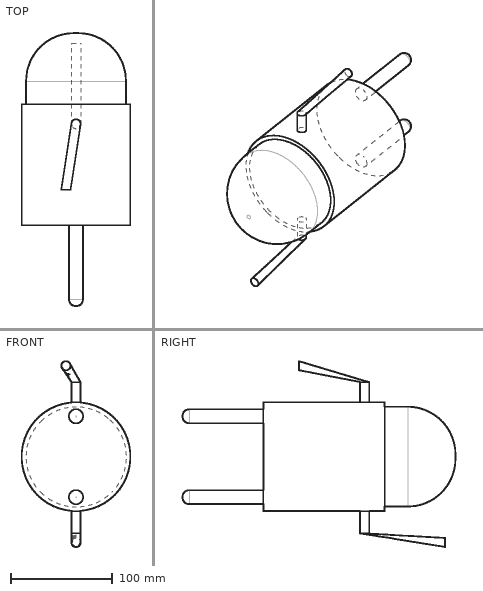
import cadquery as cq

body_diameter = 107.7
body_length = 120.0

nose_diameter = 99.0
nose_length = 70.2
nose_round = 47.5

rod_diameter = 14.0
rod_length = 80.0
rod_round = 6.8
rod_offset = 40.0

post_diameter = 9.2
post_y = 100.2
upper_post_end = 73.7
lower_post_end = -76.0
upper_arm_end = (-10.0, 35.0, 90.0)
lower_arm_end = (0, 179.8, -84.8)


def cylinder_along_y(diameter, start_y, length, z=0):
    """Cylinder from start_y; a negative length runs toward -Y."""
    direction = cq.Vector(0, 1 if length > 0 else -1, 0)
    solid = cq.Solid.makeCylinder(diameter / 2, abs(length), cq.Vector(0, start_y, z), direction)
    return cq.Workplane(solid)


def make_nose():
    nose = cylinder_along_y(nose_diameter, body_length, nose_length)
    return nose.edges(">Y").fillet(nose_round)


def make_rod(z):
    rod = cylinder_along_y(rod_diameter, 0, -rod_length, z)
    return rod.edges("<Y").fillet(rod_round)


def make_post(end_z):
    """Vertical post from the body axis out to end_z."""
    return cq.Workplane("XY", origin=(0, post_y, 0)).circle(post_diameter / 2).extrude(end_z)


def make_arm(post_end, arm_end):
    """Ruled blend from the post's horizontal end to a circle facing along Y."""
    radius = post_diameter / 2
    root = cq.Wire.makeCircle(radius, cq.Vector(0, post_y, post_end), cq.Vector(0, 0, 1))
    tip = cq.Workplane("XZ", origin=arm_end).circle(radius).wires().val()
    return cq.Workplane(cq.Solid.makeLoft([root, tip], True))


result = cylinder_along_y(body_diameter, 0, body_length).union(make_nose())

for rod_z in (rod_offset, -rod_offset):
    result = result.union(make_rod(rod_z))

for post_end, arm_end in ((upper_post_end, upper_arm_end), (lower_post_end, lower_arm_end)):
    result = result.union(make_post(post_end)).union(make_arm(post_end, arm_end))